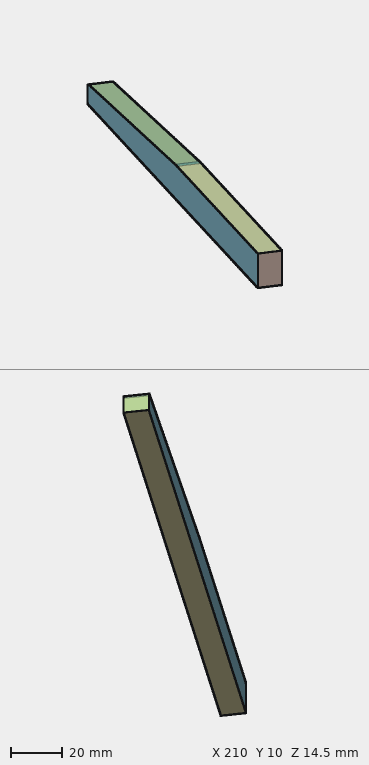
import cadquery as cq
import math

length = 210.0
width = 10.0
height = 14.5

tip_height = 8.6
knee_from_tip = 109.5
knee_setback = 1.3
tip_radius = 1.9

slope_angle = math.atan2(height - tip_height, knee_from_tip)
slope_x = math.cos(slope_angle)
slope_z = math.sin(slope_angle)

blend_start = (knee_from_tip - knee_setback * slope_x, height - knee_setback * slope_z)
blend_end = (knee_from_tip + knee_setback, height)

bar = (
    cq.Workplane("XZ", origin=(0, width / 2, 0))
    .lineTo(0, tip_height)
    .lineTo(*blend_start)
    .tangentArcPoint(blend_end, relative=False)
    .lineTo(length, height)
    .lineTo(length, 0)
    .close()
    .extrude(width)
)

result = bar.faces("<X").edges(">Z").fillet(tip_radius)